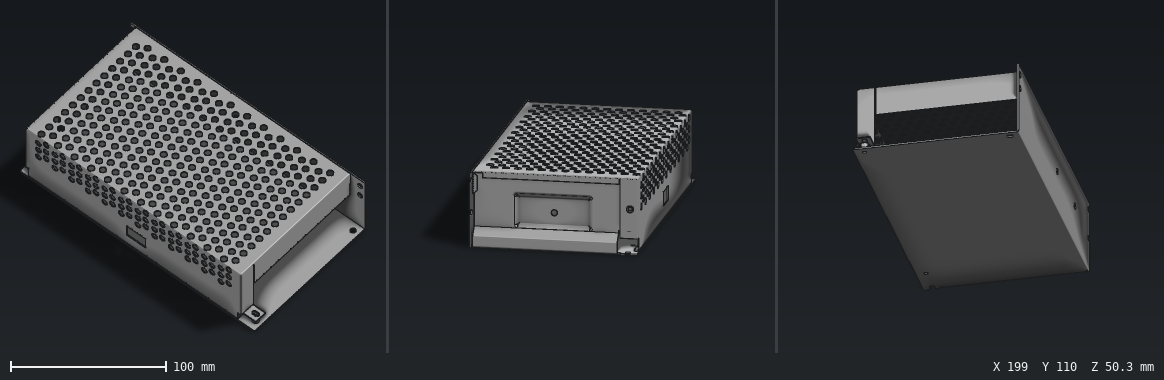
import cadquery as cq
import math

LENGTH = 199.0
WIDTH = 110.0
HEIGHT = 50.3
CHASSIS_SHEET = 1.2
COVER_SHEET = 0.8
BEND_RADIUS = 1.4

REAR_WALL_HEIGHT = 49.8
BASE_CORNER_RADIUS = 1.0
REAR_WALL_INNER_Y = WIDTH - CHASSIS_SHEET
SKIRT_HEIGHT = 7.8
SKIRT_BEND_RADIUS = 2.0
SKIRT_FOOT_RADIUS = 1.4
SKIRT_FRONT_Y = 13.1
SKIRT_RELIEF_DEPTH = 1.8
SKIRT_RELIEF_WIDTH = 2.2
PANEL_FRONT_Y = 1.4
PANEL_REAR_Y = 107.9
PANEL_TOP_Z = 49.4
PANEL_EAR_BOTTOM_Z = 14.7

RECESS_WIDTH = 51.5
RECESS_HEIGHT = 23.0
RECESS_CENTER_Y = 56.0
RECESS_CENTER_Z = 24.7
RECESS_DEPTH = 3.2
RECESS_TAPER = 40.0
RECESS_CORNER_RADIUS = 2.2
RECESS_MOUTH_RADIUS = 2.8
RECESS_FLOOR_RADIUS = 1.5
RECESS_HOLE_DIAMETER = 4.0
RECESS_HOLE_Z = 23.7

SLOT_WIDTH = 3.2
SLOT_DEPTH = 4.8
SLOT_MOUTH_RADIUS = 1.0
REAR_SLOT_HEIGHTS = [23.3, 44.4]
MOUNT_HOLE_DIAMETER = 4.0
REAR_HOLE_X = 195.0
REAR_FIXING_X = [41.4, 90.5]
REAR_FIXING_Z = 26.7
REAR_HOLE_HEIGHTS = [33.5, 43.4]
STANDOFF_DIAMETER = 4.8
SCREW_BORE = 2.5
STANDOFF_TOP_Z = 6.0
STANDOFF_X = 194.0
FRONT_FIXING_Y = 7.0
BASE_REAR_HOLE_Y = 103.0
BASE_FRONT_HOLE_X = 22.3
BASE_SLOT_Y = 6.4

COVER_LEFT_X = 4.8
COVER_RIGHT_X = 187.9
LEFT_BEND_RADIUS = 0.5
CORNER_FLANGE_WIDTH = 12.1
FLANGE_GAP = 0.5
LEFT_FLANGE_BOTTOM_Z = 10.0
RIGHT_FLANGE_BOTTOM_Z = 8.0
LEFT_LIP_DEPTH = 4.5
LEFT_LIP_REAR_Y = 102.0
RIGHT_LIP_DEPTH = 20.5
REAR_FLANGE_BOTTOM_Z = 40.5
REAR_EAR_BOTTOM_Z = 35.0
REAR_EAR_END_X = 25.9
REAR_TAB_WIDTH = 3.2
REAR_TAB_CHAMFER = 2.2
BOTTOM_LIP_WIDTH = 3.4
LEFT_NOTCH_WIDTH = 2.5
RIGHT_NOTCH_WIDTH = 3.4
FLANGE_SCREW_DIAMETER = 4.5
FLANGE_SCREW_Y = 5.5
FLANGE_SCREW_Z = 29.5

TAB_END_X = 198.5
TAB_FRONT_Y = 2.0
TAB_REAR_Y = 11.5
TAB_SLOT_LENGTH = 5.4
TAB_SLOT_WIDTH = 3.2

VENT_DIAMETER = 4.5
VENT_COLUMNS = 12
VENT_SPAN_X = 154.8
VENT_COLUMN_PITCH = VENT_SPAN_X / (VENT_COLUMNS - 1)
VENT_FIRST_X = 15.5
VENT_STAGGER_X = 6.5
TOP_VENT_ROWS = 13
TOP_VENT_SPAN_Y = 93.3
TOP_VENT_PITCH = TOP_VENT_SPAN_Y / (TOP_VENT_ROWS - 1)
TOP_VENT_FIRST_Y = 3.2
SIDE_VENT_ROWS = 3
SIDE_VENT_PITCH = 7.2
SIDE_VENT_FIRST_Z = 29.0
WINDOW_WIDTH = 16.1
WINDOW_HEIGHT = 9.5
WINDOW_CENTER_X = 98.5
WINDOW_CENTER_Z = 15.1

COVER_REAR_Y = REAR_WALL_INNER_Y
COVER_BOTTOM_Z = CHASSIS_SHEET
PANEL_OUTER_X = COVER_LEFT_X + COVER_SHEET
SLOPE_TOP_Z = SKIRT_HEIGHT + PANEL_OUTER_X



def block(x0, x1, y0, y1, z0, z1):
    return cq.Workplane("XY").box(x1 - x0, y1 - y0, z1 - z0, centered=False).translate((x0, y0, z0))


def rod_x(diameter, y, z, x0, x1):
    return cq.Workplane("YZ", origin=(x0, y, z)).circle(diameter / 2).extrude(x1 - x0)


def rod_y(diameter, x, z, y0, y1):
    return cq.Workplane("XZ", origin=(x, y0, z)).circle(diameter / 2).extrude(y0 - y1)


def rod_z(diameter, x, y, z0, z1):
    return cq.Workplane("XY", origin=(x, y, z0)).circle(diameter / 2).extrude(z1 - z0)


def slot_z(length, width, x, y, z0, z1):
    return cq.Workplane("XY", origin=(x, y, z0)).slot2D(length, width).extrude(z1 - z0)



def base_and_rear_wall():
    """L-shaped sheet with a rounded bend along the rear bottom edge."""
    t = CHASSIS_SHEET
    base = block(0, LENGTH, 0, WIDTH, 0, t)
    wall = block(0, LENGTH, REAR_WALL_INNER_Y, WIDTH, 0, REAR_WALL_HEIGHT)
    sheet = base.union(wall).edges("|X and >Y and <Z").fillet(BEND_RADIUS)
    return sheet.edges("|Z and <Y").fillet(BASE_CORNER_RADIUS)


def left_skirt():
    """Upright skirt with a slope that leads back to the panel."""
    t = CHASSIS_SHEET
    fold = t * math.tan(math.radians(45 / 2))
    profile = [
        (0, 0),
        (0, SKIRT_HEIGHT),
        (PANEL_OUTER_X, SLOPE_TOP_Z),
        (PANEL_OUTER_X + t, SLOPE_TOP_Z),
        (PANEL_OUTER_X + t, SLOPE_TOP_Z - fold),
        (t, SKIRT_HEIGHT - fold),
        (t, 0),
    ]
    skirt = (
        cq.Workplane("XZ", origin=(0, SKIRT_FRONT_Y, 0))
        .polyline(profile)
        .close()
        .extrude(SKIRT_FRONT_Y - PANEL_REAR_Y)
    )
    outer_bend = cq.selectors.NearestToPointSelector((0, WIDTH / 2, SKIRT_HEIGHT))
    return skirt.edges(outer_bend).fillet(SKIRT_BEND_RADIUS)


def recess_plug(start_x):
    """Tapered plug with rounded corners, narrowing toward +X."""
    outline = cq.Sketch().rect(RECESS_WIDTH, RECESS_HEIGHT).vertices().fillet(RECESS_CORNER_RADIUS)
    return (
        cq.Workplane("YZ", origin=(start_x, RECESS_CENTER_Y, RECESS_CENTER_Z))
        .placeSketch(outline)
        .extrude(RECESS_DEPTH, taper=RECESS_TAPER)
    )


def left_panel():
    """Flat panel with a rectangular recess pressed inward."""
    t = CHASSIS_SHEET
    inner_x = PANEL_OUTER_X + t
    plate = block(PANEL_OUTER_X, inner_x, PANEL_FRONT_Y, PANEL_REAR_Y, 0, PANEL_TOP_Z)
    recess = recess_plug(PANEL_OUTER_X)
    recess = recess.faces(">X").edges().fillet(RECESS_FLOOR_RADIUS)
    bulge = recess_plug(inner_x)
    pressed = plate.union(bulge).cut(recess)
    mouth = cq.selectors.BoxSelector(
        (PANEL_OUTER_X - t / 2, PANEL_FRONT_Y + t, t),
        (PANEL_OUTER_X + t / 2, PANEL_REAR_Y - t, PANEL_TOP_Z - t),
    )
    pressed = pressed.edges(mouth).fillet(RECESS_MOUTH_RADIUS)
    below_slope = block(0, inner_x, 0, WIDTH, 0, SLOPE_TOP_Z)
    below_ear = block(0, inner_x, 0, SKIRT_FRONT_Y, 0, PANEL_EAR_BOTTOM_Z)
    return pressed.cut(below_slope).cut(below_ear)


def rear_wall_slot(z):
    """Slot open to the left, with a round end and rounded mouth corners."""
    half = SLOT_WIDTH / 2
    flare = SLOT_MOUTH_RADIUS
    end_center_x = SLOT_DEPTH - half
    return (
        cq.Workplane("XZ", origin=(0, WIDTH, z))
        .moveTo(0, -half - flare)
        .radiusArc((flare, -half), SLOT_MOUTH_RADIUS)
        .lineTo(end_center_x, -half)
        .threePointArc((SLOT_DEPTH, 0), (end_center_x, half))
        .lineTo(flare, half)
        .radiusArc((0, half + flare), SLOT_MOUTH_RADIUS)
        .close()
        .extrude(CHASSIS_SHEET)
    )


def chassis_cuts():
    t = CHASSIS_SHEET
    cuts = []
    cuts.append(slot_z(2 * SLOT_DEPTH, SLOT_WIDTH, 0, BASE_SLOT_Y, 0, t))
    cuts += [rear_wall_slot(z) for z in REAR_SLOT_HEIGHTS]
    cuts.append(block(0, SKIRT_RELIEF_DEPTH, SKIRT_FRONT_Y - SKIRT_RELIEF_WIDTH, SKIRT_FRONT_Y, 0, t))
    cuts.append(block(0, SKIRT_RELIEF_DEPTH, PANEL_REAR_Y, REAR_WALL_INNER_Y, 0, t))
    for z in REAR_HOLE_HEIGHTS:
        cuts.append(rod_y(MOUNT_HOLE_DIAMETER, REAR_HOLE_X, z, REAR_WALL_INNER_Y, WIDTH))
    for x in REAR_FIXING_X:
        cuts.append(rod_y(MOUNT_HOLE_DIAMETER, x, REAR_FIXING_Z, REAR_WALL_INNER_Y, WIDTH))
    cuts.append(rod_z(MOUNT_HOLE_DIAMETER, STANDOFF_X, BASE_REAR_HOLE_Y, 0, t))
    cuts.append(rod_z(SCREW_BORE, STANDOFF_X, FRONT_FIXING_Y, 0, STANDOFF_TOP_Z))
    cuts.append(rod_z(SCREW_BORE, BASE_FRONT_HOLE_X, FRONT_FIXING_Y, 0, t))
    cuts.append(
        rod_x(RECESS_HOLE_DIAMETER, RECESS_CENTER_Y, RECESS_HOLE_Z,
              PANEL_OUTER_X, PANEL_OUTER_X + RECESS_DEPTH + 2 * t)
    )
    cuts.append(rod_x(SCREW_BORE, FLANGE_SCREW_Y, FLANGE_SCREW_Z, PANEL_OUTER_X, PANEL_OUTER_X + t))
    return cuts


def build_chassis():
    standoff = rod_z(STANDOFF_DIAMETER, STANDOFF_X, FRONT_FIXING_Y, 0, STANDOFF_TOP_Z)
    chassis = base_and_rear_wall().union(left_skirt()).union(left_panel()).union(standoff)
    for cutter in chassis_cuts():
        chassis = chassis.cut(cutter)
    skirt_foot = cq.selectors.NearestToPointSelector((0, WIDTH / 2, 0))
    return chassis.edges(skirt_foot).fillet(SKIRT_FOOT_RADIUS)



def cover_box():
    """Thin closed box with rounded bends, from which the open areas are cut."""
    t = COVER_SHEET
    outer = block(COVER_LEFT_X, COVER_RIGHT_X, 0, COVER_REAR_Y, COVER_BOTTOM_Z, HEIGHT)
    outer = outer.edges("|X or >X").fillet(BEND_RADIUS)
    outer = outer.faces("<X").edges().fillet(LEFT_BEND_RADIUS)
    inner = block(
        COVER_LEFT_X + t, COVER_RIGHT_X - t, t, COVER_REAR_Y - t, COVER_BOTTOM_Z + t, HEIGHT - t
    )
    inner = inner.edges("|X or >X").fillet(BEND_RADIUS - t)
    return outer.cut(inner)


def vent_positions(rows, pitch, first):
    """Two interleaved column sets; the second is shifted by half a row."""
    spots = []
    for column in range(VENT_COLUMNS):
        x = VENT_FIRST_X + column * VENT_COLUMN_PITCH
        for row in range(rows):
            spots.append((x, first + row * pitch))
            spots.append((x + VENT_STAGGER_X, first + (row + 0.5) * pitch))
    return spots


def end_gaps(x0, x1, lip_rear_y, lip_bottom_z, corner_bottom_z):
    """Openings of one end face: under the top lip, under the corner flange, and the slit between."""
    flange_top_z = HEIGHT - BEND_RADIUS
    slit_end_y = CORNER_FLANGE_WIDTH + FLANGE_GAP
    return [
        block(x0, x1, CORNER_FLANGE_WIDTH, slit_end_y, COVER_BOTTOM_Z, flange_top_z),
        block(x0, x1, slit_end_y, lip_rear_y, COVER_BOTTOM_Z, lip_bottom_z),
        block(x0, x1, 0, CORNER_FLANGE_WIDTH, COVER_BOTTOM_Z, corner_bottom_z),
    ]


def rear_tab_clearance():
    """Space on the left end between the top lip and the chamfered rear tab."""
    tab_y = COVER_REAR_Y - REAR_TAB_WIDTH
    root_y = COVER_REAR_Y - COVER_SHEET
    flange_top_z = HEIGHT - BEND_RADIUS
    profile = [
        (LEFT_LIP_REAR_Y, COVER_BOTTOM_Z),
        (COVER_REAR_Y, COVER_BOTTOM_Z),
        (COVER_REAR_Y, REAR_EAR_BOTTOM_Z),
        (root_y, REAR_EAR_BOTTOM_Z),
        (tab_y, REAR_EAR_BOTTOM_Z + REAR_TAB_CHAMFER),
        (tab_y, flange_top_z - REAR_TAB_CHAMFER),
        (root_y, flange_top_z),
        (LEFT_LIP_REAR_Y, flange_top_z),
    ]
    return (
        cq.Workplane("YZ", origin=(COVER_LEFT_X, 0, 0)).polyline(profile).close().extrude(COVER_SHEET)
    )


def rear_openings():
    """Area below the rear flange; a deeper ear stays at the left end."""
    wall_y = COVER_REAR_Y - BEND_RADIUS
    return [
        block(COVER_LEFT_X, REAR_EAR_END_X, wall_y, COVER_REAR_Y, COVER_BOTTOM_Z, REAR_EAR_BOTTOM_Z),
        block(REAR_EAR_END_X, COVER_RIGHT_X, wall_y, COVER_REAR_Y, COVER_BOTTOM_Z, REAR_FLANGE_BOTTOM_Z),
    ]


def cover_openings():
    left_inner_x = COVER_LEFT_X + COVER_SHEET
    right_inner_x = COVER_RIGHT_X - BEND_RADIUS
    floor_top_z = COVER_BOTTOM_Z + BEND_RADIUS
    openings = [
        block(COVER_LEFT_X, COVER_RIGHT_X, BOTTOM_LIP_WIDTH, COVER_REAR_Y, COVER_BOTTOM_Z, floor_top_z),
        block(COVER_LEFT_X, COVER_LEFT_X + LEFT_NOTCH_WIDTH, 0, BOTTOM_LIP_WIDTH,
              COVER_BOTTOM_Z, LEFT_FLANGE_BOTTOM_Z),
        block(COVER_RIGHT_X - RIGHT_NOTCH_WIDTH, COVER_RIGHT_X, 0, BOTTOM_LIP_WIDTH,
              COVER_BOTTOM_Z, RIGHT_FLANGE_BOTTOM_Z),
        rear_tab_clearance(),
    ]
    openings += rear_openings()
    openings += end_gaps(
        COVER_LEFT_X, left_inner_x, LEFT_LIP_REAR_Y, HEIGHT - LEFT_LIP_DEPTH, LEFT_FLANGE_BOTTOM_Z
    )
    openings += end_gaps(
        right_inner_x, COVER_RIGHT_X, COVER_REAR_Y - BEND_RADIUS,
        HEIGHT - RIGHT_LIP_DEPTH, RIGHT_FLANGE_BOTTOM_Z,
    )
    return openings


def foot_tab():
    """Slotted tab bent outward from the bottom of the right corner flange."""
    bottom_z = RIGHT_FLANGE_BOTTOM_Z
    top_z = bottom_z + COVER_SHEET
    tab = block(COVER_RIGHT_X - COVER_SHEET, TAB_END_X, TAB_FRONT_Y, TAB_REAR_Y, bottom_z, top_z)
    slot = slot_z(TAB_SLOT_LENGTH, TAB_SLOT_WIDTH, STANDOFF_X, FRONT_FIXING_Y, bottom_z, top_z)
    return tab.cut(slot)


def vent_cutters():
    """Perforation of the top and the upper part of the front."""
    radius = VENT_DIAMETER / 2
    top = (
        cq.Workplane("XY", origin=(0, 0, HEIGHT - COVER_SHEET))
        .pushPoints(vent_positions(TOP_VENT_ROWS, TOP_VENT_PITCH, TOP_VENT_FIRST_Y))
        .circle(radius)
        .extrude(COVER_SHEET)
    )
    front = (
        cq.Workplane("XZ", origin=(0, COVER_SHEET, 0))
        .pushPoints(vent_positions(SIDE_VENT_ROWS, SIDE_VENT_PITCH, SIDE_VENT_FIRST_Z))
        .circle(radius)
        .extrude(COVER_SHEET)
    )
    return [top, front]


def front_window():
    half_width = WINDOW_WIDTH / 2
    half_height = WINDOW_HEIGHT / 2
    return block(
        WINDOW_CENTER_X - half_width, WINDOW_CENTER_X + half_width, 0, COVER_SHEET,
        WINDOW_CENTER_Z - half_height, WINDOW_CENTER_Z + half_height,
    )


def build_cover():
    screw_hole = rod_x(FLANGE_SCREW_DIAMETER, FLANGE_SCREW_Y, FLANGE_SCREW_Z,
                       COVER_LEFT_X, COVER_LEFT_X + COVER_SHEET)
    cover = cover_box()
    for cutter in cover_openings() + vent_cutters() + [front_window(), screw_hole]:
        cover = cover.cut(cutter)
    return cover.union(foot_tab())


chassis = build_chassis()
cover = build_cover()
result = cq.Compound.makeCompound([chassis.val(), cover.val()])